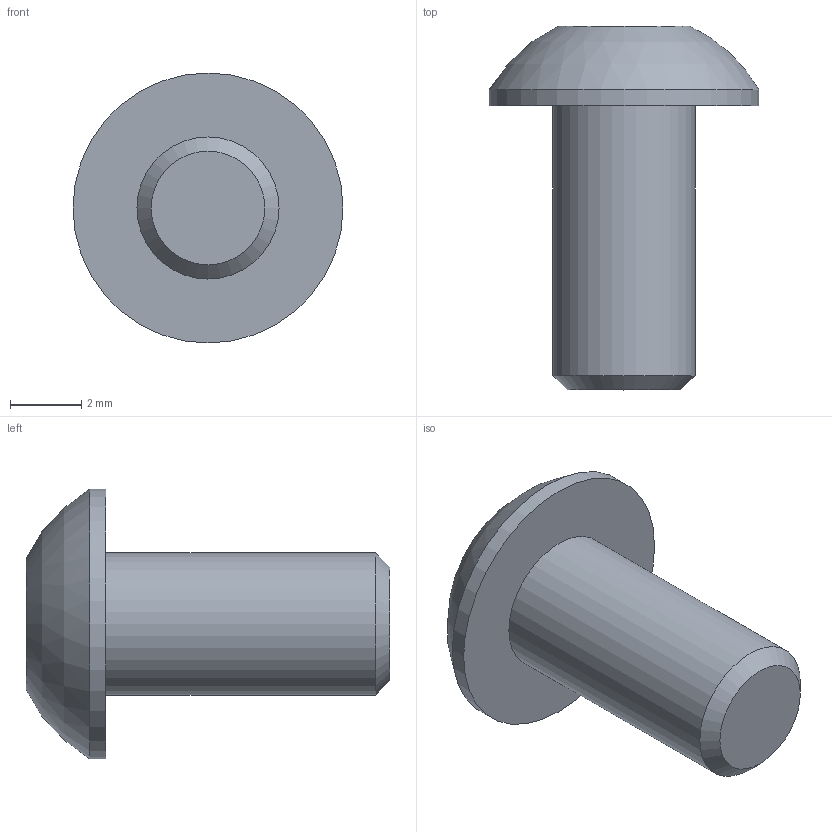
import cadquery as cq
import math

shank_diameter = 4.0
shank_length = 8.0
tip_chamfer = 0.4

head_diameter = 7.6
head_height = 2.24
rim_height = 0.45
crown_flat_diameter = 3.7

shank_radius = shank_diameter / 2
head_radius = head_diameter / 2
crown_flat_radius = crown_flat_diameter / 2

dome_centre_y = (
    crown_flat_radius**2 + head_height**2 - head_radius**2 - rim_height**2
) / (2 * (head_height - rim_height))
dome_radius = math.hypot(head_radius, rim_height - dome_centre_y)


def dome_midpoint():
    """Point on the dome profile halfway in angle between rim and crown."""
    rim_angle = math.atan2(rim_height - dome_centre_y, head_radius)
    crown_angle = math.atan2(head_height - dome_centre_y, crown_flat_radius)
    mid_angle = (rim_angle + crown_angle) / 2
    return (
        dome_radius * math.cos(mid_angle),
        dome_centre_y + dome_radius * math.sin(mid_angle),
    )


def make_head():
    """Domed head with a cylindrical rim and a flat crown."""
    profile = (
        cq.Workplane("XY")
        .lineTo(head_radius, 0)
        .lineTo(head_radius, rim_height)
        .threePointArc(dome_midpoint(), (crown_flat_radius, head_height))
        .lineTo(0, head_height)
        .close()
    )
    return profile.revolve(360, (0, 0, 0), (0, 1, 0))


def make_shank():
    """Plain cylindrical shank with a chamfered tip."""
    shank = cq.Workplane("XZ").circle(shank_radius).extrude(shank_length)
    return shank.faces("<Y").chamfer(tip_chamfer)


result = make_head().union(make_shank())